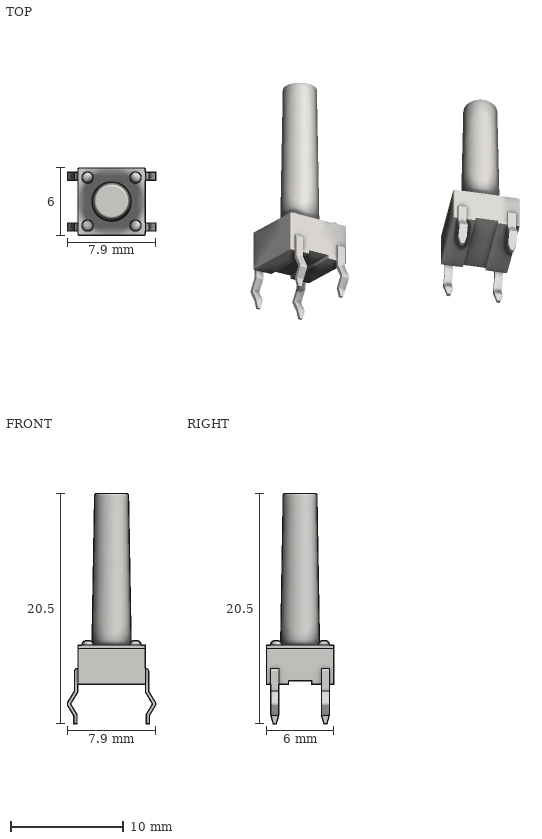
import cadquery as cq
import math


case_width = 6.0
case_height = 3.5
corner_radius = 0.15
cover_thickness = 0.3
base_height = case_height - cover_thickness
slot_width = 2.05
slot_depth = 0.3

rivet_diameter = 1.0
rivet_dome_diameter = 0.8
rivet_offset = 2.13

plunger_height = 13.49
plunger_base_diameter = 3.5
plunger_draft = 1
plunger_edge_radius = 0.18

leg_span = 7.9
leg_thickness = 0.3
leg_width = 0.74
leg_offset = 2.25
leg_top = 1.44
leg_bottom = -3.5
leg_top_radius = 0.29
knee_height = -1.75
bend_angle = math.radians(31)
foot_inner = 3.08
foot_taper_length = 0.8
foot_tip_width = 0.29


def square_plate(height):
    """Square block with rounded vertical corners, its bottom at Z = 0."""
    plate = cq.Workplane("XY").rect(case_width, case_width).extrude(height)
    return plate.edges("|Z").fillet(corner_radius)


def make_base():
    """Base block with a slot along X across its underside."""
    slot = cq.Workplane("XY").box(case_width, slot_width, slot_depth, centered=(True, True, False))
    return square_plate(base_height).cut(slot)


def make_cover():
    """Cover plate with a domed rivet head near each corner."""
    rivet_height = rivet_dome_diameter / 2
    flat_radius = (rivet_diameter - rivet_dome_diameter) / 2
    dome = (
        cq.Workplane("XZ")
        .lineTo(rivet_diameter / 2, 0)
        .radiusArc((flat_radius, rivet_height), -rivet_height)
        .lineTo(0, rivet_height)
        .close()
        .revolve(360, (0, 0), (0, 1))
        .val()
    )
    rivets = (
        cq.Workplane("XY", origin=(0, 0, case_height))
        .rect(2 * rivet_offset, 2 * rivet_offset, forConstruction=True)
        .vertices()
        .eachpoint(dome, useLocalCoordinates=True)
    )
    return square_plate(cover_thickness).translate((0, 0, base_height)).union(rivets)


def make_plunger():
    """Tapered round plunger with a rounded top edge."""
    plunger = (
        cq.Workplane("XY", origin=(0, 0, case_height))
        .circle(plunger_base_diameter / 2)
        .extrude(plunger_height, taper=plunger_draft)
    )
    return plunger.faces(">Z").edges().fillet(plunger_edge_radius)


def make_leg():
    """Leg on the +X side, centred on Y = 0."""
    side = case_width / 2
    knee = leg_span / 2 - leg_thickness
    slope = math.tan(bend_angle)
    shoulder = knee_height + (knee - side) / slope
    ankle = knee_height - (knee - foot_inner) / slope
    bend_shift = leg_thickness * math.tan(bend_angle / 2)
    arc_x = knee + leg_thickness * math.cos(bend_angle)
    arc_rise = leg_thickness * math.sin(bend_angle)
    foot_outer = foot_inner + leg_thickness
    foot_top = ankle - bend_shift

    strip = (
        cq.Workplane("XZ")
        .moveTo(side, leg_top)
        .lineTo(side, shoulder)
        .lineTo(knee, knee_height)
        .lineTo(foot_inner, ankle)
        .lineTo(foot_inner, leg_bottom)
        .lineTo(foot_outer, leg_bottom)
        .lineTo(foot_outer, foot_top)
        .lineTo(arc_x, knee_height - arc_rise)
        .threePointArc((knee + leg_thickness, knee_height), (arc_x, knee_height + arc_rise))
        .lineTo(side + leg_thickness, shoulder + bend_shift)
        .lineTo(side + leg_thickness, leg_top - leg_top_radius)
        .radiusArc((side + leg_thickness - leg_top_radius, leg_top), -leg_top_radius)
        .close()
        .extrude(leg_width / 2, both=True)
    )
    taper_top = leg_bottom + foot_taper_length
    outline = (
        cq.Workplane("YZ")
        .moveTo(-leg_width / 2, leg_top)
        .lineTo(leg_width / 2, leg_top)
        .lineTo(leg_width / 2, taper_top)
        .lineTo(foot_tip_width / 2, leg_bottom)
        .lineTo(-foot_tip_width / 2, leg_bottom)
        .lineTo(-leg_width / 2, taper_top)
        .close()
        .extrude(leg_span / 2)
    )
    return strip.intersect(outline)


base = make_base()
cover = make_cover()
plunger = make_plunger()

legs = []
for turn in (0, 180):
    for y in (-leg_offset, leg_offset):
        leg = make_leg().translate((0, y, 0)).rotate((0, 0, 0), (0, 0, 1), turn)
        legs.append(leg.val())

result = cq.Compound.makeCompound([base.val(), cover.val(), plunger.val(), *legs])